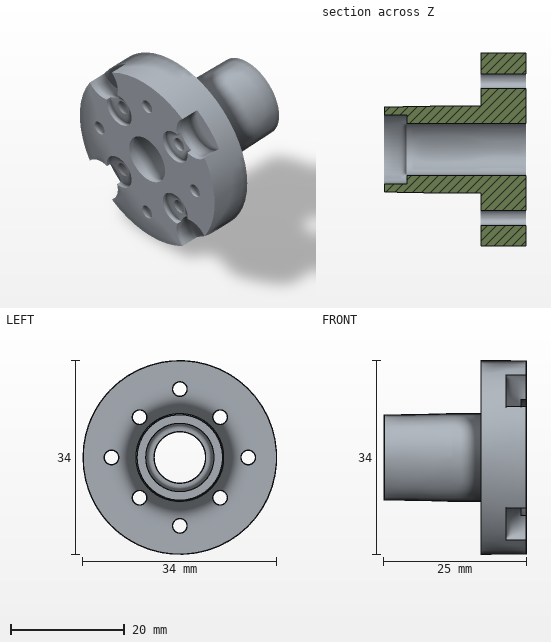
import cadquery as cq
import math

flange_diameter = 34.0
flange_thickness = 8.0

hub_diameter = 15.45
hub_end_diameter = 15.0
straight_length = 5.0
taper_length = 12.0
hub_length = straight_length + taper_length

bore_diameter = 9.0
seat_diameter = 12.0
seat_depth = 4.0

bolt_diameter = 2.5
straight_ring_radius = 12.0
diagonal_ring_radius = 10.0
diagonal_angles = [45, 135, 225, 315]
straight_angles = [0, 90, 180, 270]

counterbore_diameter = 6.25
counterbore_depth = 0.95

pocket_width = 7.9
pocket_depth = 3.57
pocket_center_radius = 16.05


def cylinder(start_x, length, diameter):
    """Solid cylinder on the X axis."""
    return cq.Workplane("YZ", origin=(start_x, 0, 0)).circle(diameter / 2).extrude(length)


def ring_of_cylinders(start_x, length, diameter, ring_radius, angles):
    """Cylinders along X, spread around a ring."""
    centers = [
        (ring_radius * math.cos(math.radians(angle)), ring_radius * math.sin(math.radians(angle)))
        for angle in angles
    ]
    plane = cq.Workplane("YZ", origin=(start_x, 0, 0))
    return plane.pushPoints(centers).circle(diameter / 2).extrude(length)


def body():
    """Flange and hub turned as one profile about X."""
    return (
        cq.Workplane("XY")
        .moveTo(-hub_length, 0)
        .lineTo(-hub_length, hub_end_diameter / 2)
        .lineTo(-straight_length, hub_diameter / 2)
        .lineTo(0, hub_diameter / 2)
        .lineTo(0, flange_diameter / 2)
        .lineTo(flange_thickness, flange_diameter / 2)
        .lineTo(flange_thickness, 0)
        .close()
        .revolve(360, (0, 0, 0), (1, 0, 0))
    )


def rim_pocket(angle):
    """Half-round pocket end with parallel walls running out past the rim."""
    inner_radius = pocket_center_radius - pocket_width / 2
    outer_radius = flange_diameter / 2 + pocket_width / 2
    pocket = (
        cq.Workplane("YZ", origin=(flange_thickness - pocket_depth, 0, 0))
        .moveTo(outer_radius, -pocket_width / 2)
        .lineTo(pocket_center_radius, -pocket_width / 2)
        .threePointArc((inner_radius, 0), (pocket_center_radius, pocket_width / 2))
        .lineTo(outer_radius, pocket_width / 2)
        .close()
        .extrude(pocket_depth)
    )
    return pocket.rotate((0, 0, 0), (1, 0, 0), angle)


result = body()
result = result.cut(cylinder(-hub_length, hub_length + flange_thickness, bore_diameter))
result = result.cut(cylinder(-hub_length, seat_depth, seat_diameter))

for radius, angles in ((straight_ring_radius, straight_angles), (diagonal_ring_radius, diagonal_angles)):
    result = result.cut(ring_of_cylinders(0, flange_thickness, bolt_diameter, radius, angles))

counterbore_floor = flange_thickness - counterbore_depth
result = result.cut(
    ring_of_cylinders(
        counterbore_floor, counterbore_depth, counterbore_diameter, diagonal_ring_radius, diagonal_angles
    )
)

for pocket_angle in diagonal_angles:
    result = result.cut(rim_pocket(pocket_angle))